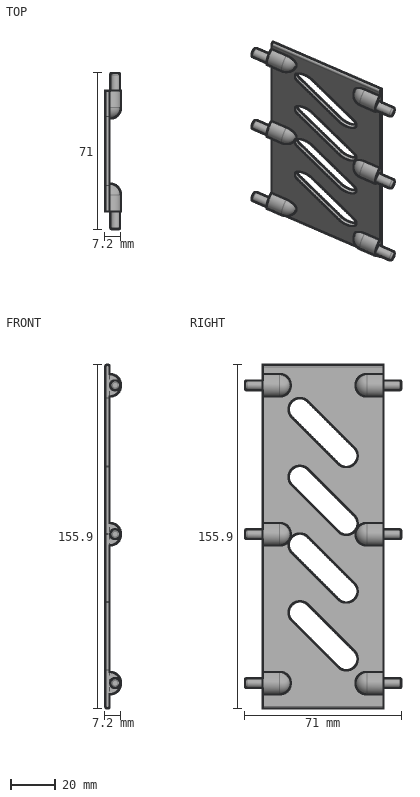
import cadquery as cq
import math

plate_thickness = 2.0
plate_width = 54.9
plate_height = 155.9
edge_radius = plate_thickness / 2

pattern_center_z = 1.1

slot_count = 4
slot_pitch = 30.7
slot_width = 10.1
slot_center_span = 21.0 * math.sqrt(2)
slot_angle = 135.0

overall_width = 71.0
overall_depth = 7.2
pin_rows = 3
pin_pitch = 67.5
pin_diameter = 4.5
pin_center_x = 4.5
pin_tip_radius = 1.0
boss_radius = overall_depth - plate_thickness
boss_length = 7.6


def centered_positions(count, pitch):
    """Evenly spaced heights about the pattern centre."""
    return [pattern_center_z + (i - (count - 1) / 2) * pitch for i in range(count)]


def make_plate():
    """Plate with fully rounded top and bottom edges."""
    straight_top = plate_height / 2 - edge_radius
    return (
        cq.Workplane("XZ")
        .moveTo(0, -straight_top)
        .lineTo(0, straight_top)
        .threePointArc((edge_radius, plate_height / 2), (plate_thickness, straight_top))
        .lineTo(plate_thickness, -straight_top)
        .threePointArc((edge_radius, -plate_height / 2), (0, -straight_top))
        .close()
        .extrude(plate_width / 2, both=True)
    )


def make_slots():
    """Cutters for the row of diagonal slots."""
    centers = [(0, z) for z in centered_positions(slot_count, slot_pitch)]
    return (
        cq.Workplane("YZ")
        .pushPoints(centers)
        .slot2D(slot_center_span + slot_width, slot_width, slot_angle)
        .extrude(plate_thickness)
    )


def make_boss(z):
    """Half-round boss on the -Y edge, closed by a quarter sphere at its inner end."""
    outer_y = -plate_width / 2
    dome_start_y = outer_y + boss_length
    dome_tip_y = dome_start_y + boss_radius
    arc_offset = boss_radius * math.sqrt(0.5)
    half_profile = (
        cq.Workplane("XY", origin=(plate_thickness, 0, z))
        .moveTo(0, outer_y)
        .lineTo(0, dome_tip_y)
        .threePointArc((arc_offset, dome_start_y + arc_offset), (boss_radius, dome_start_y))
        .lineTo(boss_radius, outer_y)
        .close()
    )
    boss = half_profile.revolve(180, (0, 0), (0, 1))
    return boss.rotate((plate_thickness, 0, z), (plate_thickness, 1, z), -90)


def make_pin(z):
    """Pin pointing along -Y from the boss, with a rounded tip."""
    pin_length = (overall_width - plate_width) / 2
    return (
        cq.Workplane("XZ", origin=(pin_center_x, -plate_width / 2, z))
        .circle(pin_diameter / 2)
        .extrude(pin_length)
        .faces("<Y")
        .edges()
        .fillet(pin_tip_radius)
    )


result = make_plate().cut(make_slots())
for row_z in centered_positions(pin_rows, pin_pitch):
    hinge = make_boss(row_z).union(make_pin(row_z))
    result = result.union(hinge).union(hinge.mirror("XZ"))